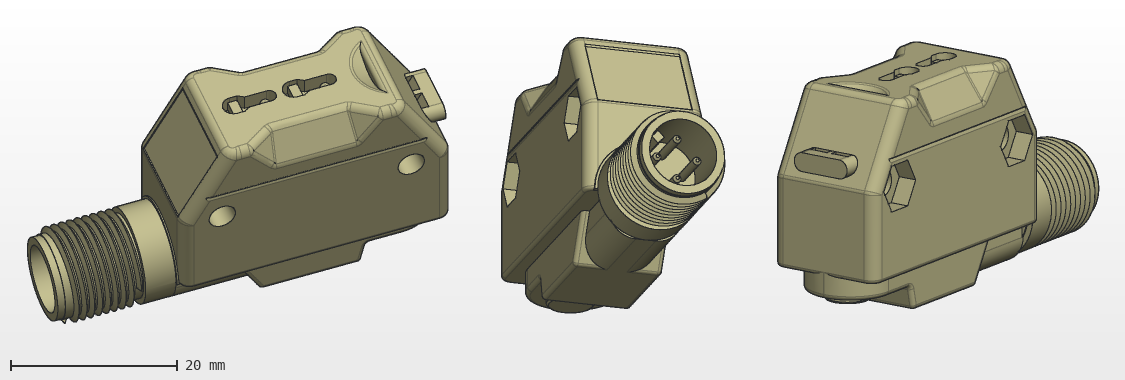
import cadquery as cq
import math


HOUSING_WIDTH = 15.0
HOUSING_LENGTH = 34.55
HOUSING_BOTTOM = 5.85
SHOULDER_Z = 17.25
TOP_Z = 27.4
TAN_30 = math.tan(math.radians(30))
CORNER_RADIUS = 1.55
TOP_RADIUS = 1.15
BOTTOM_RADIUS = 0.45
SHOULDER_RADIUS = 0.8
SEAM_Z = 20.9
SEAM_HEIGHT = 0.5
SEAM_DEPTH = 0.15
PANEL_TOP_Z = 26.15
PANEL_BOTTOM_Z = 17.35
PANEL_STEP = 0.3
HALF_WIDTH = HOUSING_WIDTH / 2
MID_Y = HOUSING_LENGTH / 2

SCOOP_RISE = 4.2
SCOOP_INSET = 2.7
SCOOP_BOTTOM_LENGTH = 10.5
SCOOP_TOP_LENGTH = 9.7
SCOOP_FLARE = 1.5
SCOOP_RADIUS = 0.5

MOUNT_Z = 17.1
MOUNT_SPACING = 24.15
MOUNT_DIAMETER = 3.35
NUT_FLATS = 5.7
NUT_DEPTH = 2.4

NOTCH_BACK_Y = 26.85
NOTCH_WIDTH = 8.0
NOTCH_REACH = 2.1
NOTCH_DEPTH = 1.5
NOTCH_RIM_RADIUS = 0.6

SLOT_PITCH = 7.65
SLOT_FAR_Y = 21.65
SLOT_NARROW_RADIUS = 0.85
SLOT_WIDTH = 2.65
SLOT_WIDE_RADIUS = SLOT_WIDTH / 2
SLOT_NARROW_RUN = 2.8
SLOT_TAPER_RUN = 0.8
SLOT_LENGTH = 4.55
SLOT_DEPTH = 2.0
SCREW_RADIUS = 0.7
SCREW_OFFSET = 0.5
SCREW_HEIGHT = 1.25
SLIDER_OFFSET = 4.2
SLIDER_THICKNESS = 1.2
SLIDER_HEIGHT = 1.25

BAR_WIDTH = 7.75
BAR_HEIGHT = 2.35
BAR_TOP_Z = 20.9
BAR_END_Y = 35.15
BAR_POCKET_WIDTH = 2.35
BAR_POCKET_GAP = 0.7
BAR_POCKET_RUN = 0.95

BASE_HALF_WIDTH = 5.55
BASE_STEP_Z = 3.0
BASE_STEP_TOP_Y = 24.35
BASE_STEP_LOW_Y = 23.65
BASE_FRONT_Y = 10.85
BASE_RADIUS = 0.55
KNOB_Y = 29.55
KNOB_RADIUS = 2.9
KNOB_CHAMFER = 0.25
KNOB_BOTTOM_Z = 2.0
KNOB_TAB_BOTTOM_Z = 2.15
KNOB_TAB_WIDTH = 2.5

COLLAR_DIAMETER = 12.1
COLLAR_RADIUS = COLLAR_DIAMETER / 2
CONNECTOR_Z = COLLAR_RADIUS
CRADLE_HALF_WIDTH = 4.6
CRADLE_CORNER_RADIUS = 3.35
CRADLE_LENGTH = 12.55
FLANGE_RADIUS = 6.35
FLANGE_THICKNESS = 0.2
COLLAR_END = 4.05
THREAD_END = 13.95
TIP_START = 14.05
CONNECTOR_END = 15.0
CORE_RADIUS = 5.3
TIP_RADIUS = 5.2
THREAD_RADIUS = 6.0
THREAD_PITCH = 1.0
THREAD_ROOT_OVERLAP = 0.1
THREAD_ROOT_WIDTH = 0.9
BORE_RADIUS = 4.2
BORE_DEPTH = 8.5
PIN_COUNT = 4
PIN_CIRCLE_RADIUS = 2.5
PIN_RADIUS = 0.5
PIN_TIP_CHAMFER = 0.3
PIN_RECESS = 2.15
KEY_SIZE = 1.15
KEY_CENTRE_RADIUS = 3.5
KEY_ANGLE = 135

CUT_MARGIN = 2.5
PICK_MARGIN = 0.05
ROUND_END_SLACK = 0.025


def end_face_y(z):
    """Y of the leaning far end face at height z."""
    return HOUSING_LENGTH - (z - SHOULDER_Z) * TAN_30


def disc_along_y(radius, near, far):
    """Cylinder on the connector axis between two distances out from the housing face."""
    plane = cq.Workplane("XZ", origin=(0, -near, CONNECTOR_Z))
    return plane.circle(radius).extrude(far - near)


def scoop(side):
    """Cutter with a leaning wall and flared ends, opening through the top and one side."""
    outer_x = HALF_WIDTH + CUT_MARGIN

    def section(inner_x, inner_length, z):
        half_in = inner_length / 2
        half_out = half_in + SCOOP_FLARE * (outer_x - inner_x)
        return [
            cq.Vector(side * inner_x, MID_Y - half_in, z),
            cq.Vector(side * inner_x, MID_Y + half_in, z),
            cq.Vector(side * outer_x, MID_Y + half_out, z),
            cq.Vector(side * outer_x, MID_Y - half_out, z),
        ]

    low = section(HALF_WIDTH, SCOOP_BOTTOM_LENGTH, TOP_Z - SCOOP_RISE)
    high = section(HALF_WIDTH - SCOOP_INSET, SCOOP_TOP_LENGTH, TOP_Z)
    wires = [cq.Wire.makePolygon(points, close=True) for points in (low, high)]
    cutter = cq.Workplane(cq.Solid.makeLoft(wires, True))
    slanted = cq.selectors.BoxSelector(
        (side * (HALF_WIDTH - SCOOP_INSET), 0, 0),
        (side * (HALF_WIDTH + PICK_MARGIN), HOUSING_LENGTH, TOP_Z),
    )
    wall_ends = cutter.edges("not #Z").edges(slanted)
    return wall_ends.fillet(SCOOP_RADIUS)


def seam_groove(side):
    """V-shaped cutter along one side of the housing with a level upper wall."""
    outline = [
        (side * HALF_WIDTH, SEAM_Z - SEAM_HEIGHT),
        (side * HALF_WIDTH, SEAM_Z),
        (side * (HALF_WIDTH - SEAM_DEPTH), SEAM_Z),
    ]
    return cq.Workplane("XZ").polyline(outline).close().extrude(-HOUSING_LENGTH)


def make_housing():
    """Body with leaning ends, rounded edges, side scoops and side seams."""
    top_inset = (TOP_Z - SHOULDER_Z) * TAN_30
    outline = [
        (0, HOUSING_BOTTOM),
        (HOUSING_LENGTH, HOUSING_BOTTOM),
        (HOUSING_LENGTH, SHOULDER_Z),
        (HOUSING_LENGTH - top_inset, TOP_Z),
        (top_inset, TOP_Z),
        (0, SHOULDER_Z),
    ]
    body = cq.Workplane("YZ").polyline(outline).close().extrude(HALF_WIDTH, both=True)
    shoulders = cq.selectors.BoxSelector(
        (-HALF_WIDTH, -PICK_MARGIN, SHOULDER_Z - PICK_MARGIN),
        (HALF_WIDTH, HOUSING_LENGTH + PICK_MARGIN, SHOULDER_Z + PICK_MARGIN),
    )
    body = body.edges("|X").edges(shoulders).fillet(SHOULDER_RADIUS)
    upright = body.faces("<Y or >Y").edges("not |X")
    body = upright.fillet(CORNER_RADIUS)
    for side in (-1, 1):
        body = body.cut(scoop(side))
        body = body.cut(seam_groove(side))
    scoop_zone = cq.selectors.BoxSelector(
        (-HALF_WIDTH - PICK_MARGIN, top_inset, SEAM_Z + PICK_MARGIN),
        (HALF_WIDTH + PICK_MARGIN, HOUSING_LENGTH - top_inset, TOP_Z - PICK_MARGIN),
    )
    side_rims = body.faces("<X or >X").edges(scoop_zone)
    body = side_rims.add(body.faces(">Z").edges()).fillet(TOP_RADIUS)
    return body.faces("<Z").edges().fillet(BOTTOM_RADIUS)


def cut_panel(body):
    """Shallow recess between the rounded corners of the leaning connector-side face."""
    top_y = (PANEL_TOP_Z - SHOULDER_Z) * TAN_30
    bottom_y = (PANEL_BOTTOM_Z - SHOULDER_Z) * TAN_30
    outline = [
        (bottom_y, PANEL_BOTTOM_Z),
        (top_y, PANEL_TOP_Z),
        (top_y, PANEL_TOP_Z - PANEL_STEP),
        (bottom_y + PANEL_STEP * TAN_30, PANEL_BOTTOM_Z),
    ]
    half_width = HALF_WIDTH - CORNER_RADIUS
    return body.cut(cq.Workplane("YZ").polyline(outline).close().extrude(half_width, both=True))


def cut_mounts(body):
    """Through holes along X with a hexagonal nut pocket on the -X side."""
    for y in (MID_Y - MOUNT_SPACING / 2, MID_Y + MOUNT_SPACING / 2):
        plane = cq.Workplane("YZ", origin=(-HALF_WIDTH, y, MOUNT_Z))
        nut_corners = NUT_FLATS / math.cos(math.radians(30))
        body = body.cut(plane.polygon(6, nut_corners).extrude(NUT_DEPTH))
        body = body.cut(plane.circle(MOUNT_DIAMETER / 2).extrude(HOUSING_WIDTH))
    return body


def cut_thumb_notch(body):
    """Circular segment with an upright back wall and a conical floor sloping down to it."""
    half_chord = NOTCH_WIDTH / 2
    arc_radius = (half_chord ** 2 + NOTCH_REACH ** 2) / (2 * NOTCH_REACH)
    centre_y = NOTCH_BACK_Y - NOTCH_REACH + arc_radius
    floor_centre = cq.Vector(0, centre_y, TOP_Z - NOTCH_DEPTH)
    bowl = cq.Workplane(
        cq.Solid.makeCone(arc_radius - NOTCH_REACH, arc_radius, NOTCH_DEPTH, pnt=floor_centre)
    )
    front_half = cq.Workplane("XY", origin=(0, NOTCH_BACK_Y - arc_radius, TOP_Z)).box(
        2 * arc_radius, 2 * arc_radius, 2 * arc_radius
    )
    body = body.cut(bowl.intersect(front_half))
    rim = cq.selectors.BoxSelector(
        (-half_chord, NOTCH_BACK_Y - NOTCH_REACH - PICK_MARGIN, TOP_Z - PICK_MARGIN),
        (half_chord, NOTCH_BACK_Y + PICK_MARGIN, TOP_Z + PICK_MARGIN),
    )
    return body.faces(">Z").edges(rim).fillet(NOTCH_RIM_RADIUS)


def cut_slot(body, start_y):
    """Keyhole slot with a screw head at its narrow end and a slider in its wide end."""
    narrow_y = start_y - SLOT_NARROW_RUN
    wide_y = narrow_y - SLOT_TAPER_RUN
    end_y = start_y - SLOT_LENGTH
    floor_z = TOP_Z - SLOT_DEPTH
    slot = (
        cq.Workplane("XY", origin=(0, 0, floor_z))
        .moveTo(SLOT_NARROW_RADIUS, start_y)
        .threePointArc((0, start_y + SLOT_NARROW_RADIUS), (-SLOT_NARROW_RADIUS, start_y))
        .lineTo(-SLOT_NARROW_RADIUS, narrow_y)
        .lineTo(-SLOT_WIDE_RADIUS, wide_y)
        .lineTo(-SLOT_WIDE_RADIUS, end_y)
        .threePointArc((0, end_y - SLOT_WIDE_RADIUS), (SLOT_WIDE_RADIUS, end_y))
        .lineTo(SLOT_WIDE_RADIUS, wide_y)
        .lineTo(SLOT_NARROW_RADIUS, narrow_y)
        .close()
        .extrude(SLOT_DEPTH)
    )
    screw = (
        cq.Workplane("XY", origin=(0, start_y - SCREW_OFFSET, floor_z))
        .circle(SCREW_RADIUS)
        .extrude(SCREW_HEIGHT)
        .faces(">Z")
        .edges()
        .fillet(SCREW_RADIUS - ROUND_END_SLACK)
    )
    slider = cq.Workplane("XY", origin=(0, start_y - SLIDER_OFFSET, floor_z)).box(
        SLOT_WIDTH, SLIDER_THICKNESS, SLIDER_HEIGHT, centered=(True, True, False)
    )
    return body.cut(slot.cut(screw).cut(slider))


def make_push_bar():
    """Round-ended bar standing out of the leaning far face."""
    bar_length = CUT_MARGIN + BAR_END_Y - end_face_y(BAR_TOP_Z)
    return (
        cq.Workplane("XZ", origin=(0, BAR_END_Y, BAR_TOP_Z - BAR_HEIGHT / 2))
        .slot2D(BAR_WIDTH, BAR_HEIGHT)
        .extrude(bar_length)
    )


def cut_bar_pockets(body):
    """Two wedge pockets at the bar root, leaving a thin web between them."""
    root_y = end_face_y(BAR_TOP_Z)
    outline = [
        (root_y, BAR_TOP_Z),
        (root_y + BAR_POCKET_RUN, BAR_TOP_Z),
        (root_y, BAR_TOP_Z - BAR_POCKET_RUN / TAN_30),
    ]
    for side in (-1, 1):
        centre_x = side * (BAR_POCKET_GAP + BAR_POCKET_WIDTH) / 2
        plane = cq.Workplane("YZ", origin=(centre_x, 0, 0))
        body = body.cut(plane.polyline(outline).close().extrude(BAR_POCKET_WIDTH / 2, both=True))
    return body


def make_base():
    """Round-ended block with a raised far part and a leaning front."""
    outline_top = HOUSING_BOTTOM + BOTTOM_RADIUS
    outline = [
        (HOUSING_LENGTH, outline_top),
        (HOUSING_LENGTH, BASE_STEP_Z),
        (BASE_STEP_TOP_Y, BASE_STEP_Z),
        (BASE_STEP_LOW_Y, 0),
        (BASE_FRONT_Y, 0),
        (BASE_FRONT_Y - outline_top * TAN_30, outline_top),
    ]
    base = cq.Workplane("YZ").polyline(outline).close().extrude(BASE_HALF_WIDTH, both=True)
    base = base.edges("|Z and >Y").fillet(BASE_HALF_WIDTH - ROUND_END_SLACK)
    lower_edges = cq.selectors.BoxSelector(
        (-HALF_WIDTH, -PICK_MARGIN, -PICK_MARGIN),
        (HALF_WIDTH, HOUSING_LENGTH + PICK_MARGIN, BASE_STEP_Z + BASE_RADIUS),
    )
    return base.edges(lower_edges).fillet(BASE_RADIUS)


def make_knob():
    """Adjusting knob under the raised part of the base, with a tab reaching the step."""
    knob_top = BASE_STEP_Z + BASE_RADIUS
    knob = (
        cq.Workplane("XY", origin=(0, KNOB_Y, KNOB_BOTTOM_Z))
        .circle(KNOB_RADIUS)
        .extrude(knob_top - KNOB_BOTTOM_Z)
        .faces("<Z")
        .chamfer(KNOB_CHAMFER)
    )
    tab_length = KNOB_Y - BASE_STEP_LOW_Y
    tab = cq.Workplane("XY", origin=(0, KNOB_Y - tab_length / 2, KNOB_TAB_BOTTOM_Z)).box(
        KNOB_TAB_WIDTH, tab_length, knob_top - KNOB_TAB_BOTTOM_Z, centered=(True, True, False)
    )
    return knob.union(tab)


def make_thread():
    """Right-handed ridge of triangular section around the connector core."""
    root_radius = CORE_RADIUS - THREAD_ROOT_OVERLAP
    half_root = THREAD_ROOT_WIDTH / 2
    length = THREAD_END - COLLAR_END - THREAD_PITCH
    helix = cq.Wire.makeHelix(THREAD_PITCH, length, root_radius)
    ridge = (
        cq.Workplane("XZ")
        .moveTo(root_radius, -half_root)
        .lineTo(root_radius, half_root)
        .lineTo(THREAD_RADIUS, 0)
        .close()
        .sweep(cq.Workplane(helix), isFrenet=True)
    )
    start = (0, -COLLAR_END - THREAD_PITCH / 2, CONNECTOR_Z)
    return ridge.rotate((0, 0, 0), (1, 0, 0), 90).translate(start)


def make_connector():
    """Threaded connector with its cradle, flange, collar, bore, pins and coding key."""
    connector = (
        cq.Workplane("XY", origin=(0, -FLANGE_THICKNESS, 0))
        .box(
            2 * CRADLE_HALF_WIDTH, CRADLE_LENGTH, HOUSING_BOTTOM + BOTTOM_RADIUS,
            centered=(True, False, False),
        )
        .edges("|Y and <Z")
        .fillet(CRADLE_CORNER_RADIUS)
    )
    flange_limit = cq.Workplane("XY", origin=(0, 0, HOUSING_BOTTOM)).box(
        2 * FLANGE_RADIUS, HOUSING_LENGTH, HOUSING_WIDTH, centered=(True, True, False)
    )
    flange = disc_along_y(FLANGE_RADIUS, -BOTTOM_RADIUS, FLANGE_THICKNESS)
    connector = connector.union(flange.intersect(flange_limit))
    connector = connector.union(disc_along_y(COLLAR_RADIUS, FLANGE_THICKNESS, COLLAR_END))
    connector = connector.union(disc_along_y(CORE_RADIUS, 0, TIP_START))
    connector = connector.union(disc_along_y(TIP_RADIUS, 0, CONNECTOR_END))
    connector = connector.union(make_thread())
    bore_floor = CONNECTOR_END - BORE_DEPTH
    connector = connector.cut(disc_along_y(BORE_RADIUS, bore_floor, CONNECTOR_END))
    face = cq.Workplane("XZ", origin=(0, -bore_floor, CONNECTOR_Z))
    pin_length = CONNECTOR_END - PIN_RECESS - bore_floor
    pins = face.polarArray(PIN_CIRCLE_RADIUS, 0, 360, PIN_COUNT).circle(PIN_RADIUS).extrude(pin_length)
    pins = pins.faces("<Y").edges().chamfer(PIN_TIP_CHAMFER)
    key = (
        face.transformed(rotate=(0, 0, KEY_ANGLE))
        .center(KEY_CENTRE_RADIUS, 0)
        .rect(KEY_SIZE, KEY_SIZE)
        .extrude(pin_length)
    )
    return connector.union(pins).union(key)


result = cut_mounts(cut_panel(make_housing()))
result = cut_thumb_notch(result)
for slot_start in (SLOT_FAR_Y, SLOT_FAR_Y - SLOT_PITCH):
    result = cut_slot(result, slot_start)
result = cut_bar_pockets(result.union(make_push_bar()))
result = result.union(make_base()).union(make_knob()).union(make_connector())